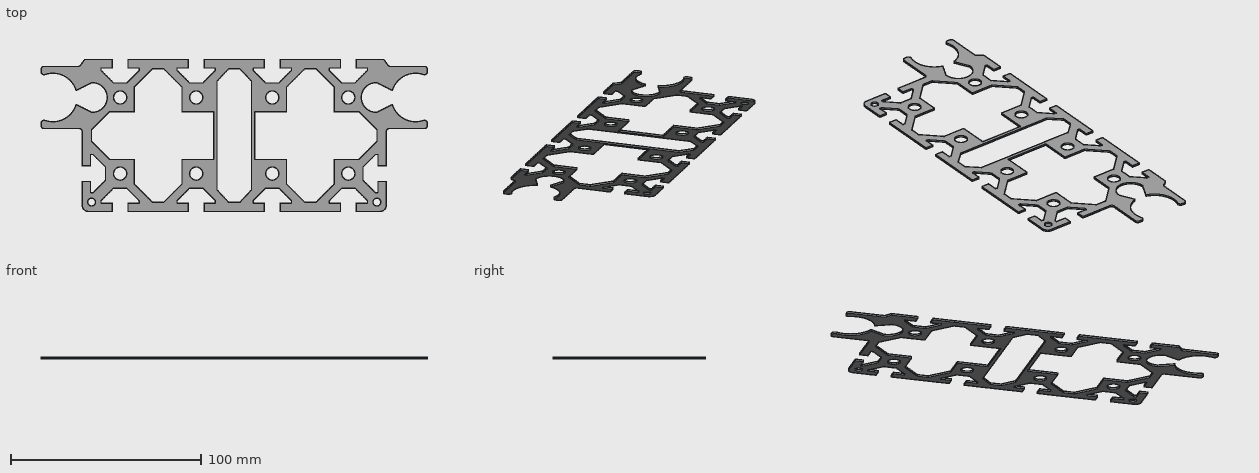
import cadquery as cq
import math

LENGTH = 203.2
BODY_LENGTH = 160.0
HEIGHT = 80.0
THICKNESS = 1.0
PITCH = 40.0

HALF_BODY = BODY_LENGTH / 2
HALF_HEIGHT = HEIGHT / 2
CORE_X = (-1.5 * PITCH, -0.5 * PITCH, 0.5 * PITCH, 1.5 * PITCH)
CORE_Y = PITCH / 2

CORE_HOLE_DIAMETER = 6.8
CORNER_HOLE_DIAMETER = 4.0
CORNER_HOLE_INSET = 5.0
CORNER_RADIUS = 3.4

SLOT_OPENING = 8.2
SLOT_WIDTH = 20
SLOT_FLOOR_WIDTH = 7
SLOT_DEPTH = 12.25
LIP_THICKNESS = 4.5

CORE_HALF_SIZE = 7.5
WALL = 5
CHAMBER_FLAT = 6
CENTRAL_SHOULDER = 28.6
WEB_OUTER = 10.9
WEB_INNER = 9

ARM_HALF_SPAN = 16.4
ARM_TIP_RADIUS = 1.6
ARM_ROOT_RADIUS = 1.5
BEVEL_TOP_INSET = 1.3
BEVEL_FOOT_OUTSET = 1.3

BOWL_RADIUS = 12.7
BOWL_X = -95.3
BOWL_MID_ANGLE = math.radians(60)
MOUTH_HALF_HEIGHT = 3.6
SEAT_RADIUS = 7.75
SEAT_X = -74.6
SEAT_ENTRY_ANGLE = math.radians(92)


def extrude_points(points):
    return cq.Workplane("XY").polyline(points).close().extrude(THICKNESS)


def mirror_x(solid):
    return solid.mirror("YZ")


def half_body():
    """Left half of the plate's outer outline, with its arms and socket."""
    tip_x = -LENGTH / 2
    arm_top = CORE_Y + ARM_HALF_SPAN
    arm_bottom = CORE_Y - ARM_HALF_SPAN
    bowl_tip = math.sqrt(BOWL_RADIUS**2 - (tip_x - BOWL_X) ** 2)
    mouth_x = BOWL_X + math.sqrt(BOWL_RADIUS**2 - MOUTH_HALF_HEIGHT**2)
    bowl_mid_x = BOWL_X + BOWL_RADIUS * math.cos(BOWL_MID_ANGLE)
    bowl_mid = BOWL_RADIUS * math.sin(BOWL_MID_ANGLE)
    seat_entry_x = SEAT_X + SEAT_RADIUS * math.cos(SEAT_ENTRY_ANGLE)
    seat_entry = SEAT_RADIUS * math.sin(SEAT_ENTRY_ANGLE)
    bevel_foot_x = -HALF_BODY - BEVEL_FOOT_OUTSET

    body = (
        cq.Workplane("XY")
        .moveTo(0, -HALF_HEIGHT)
        .lineTo(-HALF_BODY, -HALF_HEIGHT)
        .lineTo(-HALF_BODY, arm_bottom)
        .lineTo(tip_x, arm_bottom)
        .lineTo(tip_x, CORE_Y - bowl_tip)
        .threePointArc((bowl_mid_x, CORE_Y - bowl_mid), (mouth_x, CORE_Y - MOUTH_HALF_HEIGHT))
        .lineTo(seat_entry_x, CORE_Y - seat_entry)
        .threePointArc((SEAT_X + SEAT_RADIUS, CORE_Y), (seat_entry_x, CORE_Y + seat_entry))
        .lineTo(mouth_x, CORE_Y + MOUTH_HALF_HEIGHT)
        .threePointArc((bowl_mid_x, CORE_Y + bowl_mid), (tip_x, CORE_Y + bowl_tip))
        .lineTo(tip_x, arm_top)
        .lineTo(bevel_foot_x, arm_top)
        .lineTo(-HALF_BODY + BEVEL_TOP_INSET, HALF_HEIGHT)
        .lineTo(0, HALF_HEIGHT)
        .close()
        .extrude(THICKNESS)
    )
    body = round_corner(body, -HALF_BODY, -HALF_HEIGHT, CORNER_RADIUS)
    body = round_corner(body, -HALF_BODY, arm_bottom, ARM_ROOT_RADIUS)
    body = round_corner(body, bevel_foot_x, arm_top, ARM_ROOT_RADIUS)
    for offset in (ARM_HALF_SPAN, bowl_tip):
        for side in (-1, 1):
            body = round_corner(body, tip_x, CORE_Y + side * offset, ARM_TIP_RADIUS)
    return body


def round_corner(body, x, y, radius):
    """Fillet the upright edge at (x, y)."""
    edge = cq.selectors.NearestToPointSelector((x, y, THICKNESS / 2))
    return body.edges("|Z").edges(edge).fillet(radius)


def t_slot():
    """T-slot open toward -Y, with its mouth centred on the origin."""
    opening = SLOT_OPENING / 2
    width = SLOT_WIDTH / 2
    floor = SLOT_FLOOR_WIDTH / 2
    shoulder = SLOT_DEPTH - (width - floor)
    return extrude_points([
        (-opening, 0),
        (-opening, LIP_THICKNESS),
        (-width, LIP_THICKNESS),
        (-width, shoulder),
        (-floor, SLOT_DEPTH),
        (floor, SLOT_DEPTH),
        (width, shoulder),
        (width, LIP_THICKNESS),
        (opening, LIP_THICKNESS),
        (opening, 0),
    ])


def side_chamber():
    """Cross-shaped chamber on the left, reaching to the thin web."""
    flat = CHAMBER_FLAT / 2
    top = HALF_HEIGHT - WALL
    left = -HALF_BODY + WALL
    inner_y = CORE_Y - CORE_HALF_SIZE
    inner_x = PITCH / 2 - CORE_HALF_SIZE
    shoulder_y = top - (inner_x - flat)
    shoulder_x = left + (inner_y - flat)
    upper = [
        (left, flat),
        (shoulder_x, inner_y),
        (-PITCH - inner_x, inner_y),
        (-PITCH - inner_x, shoulder_y),
        (-PITCH - flat, top),
        (-PITCH + flat, top),
        (-PITCH + inner_x, shoulder_y),
        (-PITCH + inner_x, inner_y),
        (-WEB_OUTER, inner_y),
    ]
    lower = [(x, -y) for x, y in reversed(upper)]
    return extrude_points(upper + lower)


def central_chamber():
    """Long eight-sided chamber between the two thin webs."""
    flat = CHAMBER_FLAT / 2
    top = HALF_HEIGHT - WALL
    right_side = [
        (flat, -top),
        (WEB_INNER, -CENTRAL_SHOULDER),
        (WEB_INNER, CENTRAL_SHOULDER),
        (flat, top),
    ]
    left_side = [(-x, y) for x, y in reversed(right_side)]
    return extrude_points(right_side + left_side)


def drill(points, diameter):
    return cq.Workplane("XY").pushPoints(points).circle(diameter / 2).extrude(THICKNESS)


left_body = half_body()
plate = left_body.union(mirror_x(left_body))

for core_x in CORE_X:
    bottom_slot = t_slot().translate((core_x, -HALF_HEIGHT, 0))
    plate = plate.cut(bottom_slot).cut(bottom_slot.mirror("XZ"))

left_slot = t_slot().rotate((0, 0, 0), (0, 0, 1), -90).translate((-HALF_BODY, -CORE_Y, 0))
plate = plate.cut(left_slot).cut(mirror_x(left_slot))

plate = plate.cut(side_chamber()).cut(mirror_x(side_chamber())).cut(central_chamber())

core_points = [(x, y) for x in CORE_X for y in (-CORE_Y, CORE_Y)]
plate = plate.cut(drill(core_points, CORE_HOLE_DIAMETER))

corner_x = HALF_BODY - CORNER_HOLE_INSET
corner_y = -HALF_HEIGHT + CORNER_HOLE_INSET
plate = plate.cut(drill([(-corner_x, corner_y), (corner_x, corner_y)], CORNER_HOLE_DIAMETER))

result = plate